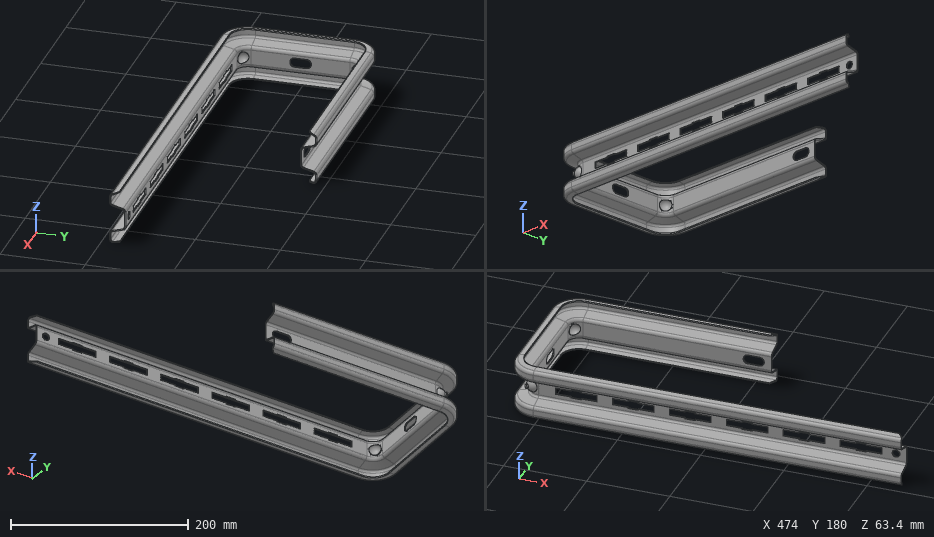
import cadquery as cq
import math

LONG_LEG_END = 474.0
SHORT_LEG_END = 258.8
BRACKET_WIDTH = 180.0
RAIL_HEIGHT = 63.43
BEND_RADIUS = 32.0
HALF_WIDTH = BRACKET_WIDTH / 2
BEND_CENTER_Y = HALF_WIDTH - BEND_RADIUS
BRIDGE_LENGTH = 2 * BEND_CENTER_Y

SHEET = 1.5
RAIL_DEPTH = 19.2
INNER_BEND = 3.0
OUTER_BEND = INNER_BEND + SHEET
LIP_DEPTH = 10.2
LIP_TILT = 12.0
WEB_CORNER_HEIGHT = 11.3
FLANGE_CORNER_HEIGHT = 16.2
LIP_CORNER_HEIGHT = RAIL_HEIGHT / 2 - LIP_DEPTH * math.tan(math.radians(LIP_TILT))

LIP_CUT_LENGTH = 5.5
LIP_CUT_DEPTH = 6.0
LIP_CUT_START_HEIGHT = 22.0

STEPPED_SLOT_COUNT = 6
STEPPED_SLOT_PITCH = 68.5
FIRST_STEPPED_SLOT_X = 77.0
STEPPED_SLOT_LENGTH = 50.0
STEPPED_SLOT_HEIGHT = 7.7
STEP_LENGTH = 12.0
STEP_HEIGHT = 10.0

END_HOLE_X = 461.5
END_HOLE_DIAMETER = 9.0

OBLONG_LENGTH = 25.0
OBLONG_HEIGHT = 11.0
OBLONG_END_MARGIN = 9.0

DOME_RADIUS = 8.6
DOME_CENTER_RADIUS = 11.2
STUD_DIAMETER = 5.0
STUD_TIP_RADIUS = 21.3


def offset_chain(points, distance):
    """Shift a chain of (z, depth) points sideways, keeping the corners mitred."""
    normals = []
    for (z0, d0), (z1, d1) in zip(points, points[1:]):
        length = math.hypot(z1 - z0, d1 - d0)
        normals.append(((d0 - d1) / length, (z1 - z0) / length))
    before = normals[:1] + normals
    after = normals + normals[-1:]
    shifted = []
    for (z, d), (az, ad), (bz, bd) in zip(points, before, after):
        stretch = distance / (1 + az * bz + ad * bd)
        shifted.append((z + stretch * (az + bz), d + stretch * (ad + bd)))
    return shifted


def rail_section():
    """Closed hat section in the YZ plane, outside of the rail at Y = 0, web toward +Y."""
    upper = [
        (RAIL_HEIGHT / 2, LIP_DEPTH),
        (LIP_CORNER_HEIGHT, 0),
        (FLANGE_CORNER_HEIGHT, 0),
        (WEB_CORNER_HEIGHT, RAIL_DEPTH - SHEET),
    ]
    outer_chain = upper + [(-z, depth) for z, depth in reversed(upper)]
    inner_chain = offset_chain(outer_chain, -SHEET)
    outline = [cq.Vector(0, depth, z) for z, depth in outer_chain + inner_chain[::-1]]
    wire = cq.Wire.makePolygon(outline, close=True)

    web_corners = (3, 4)
    for index in range(1, len(outer_chain) - 1):
        radii = (INNER_BEND, OUTER_BEND) if index in web_corners else (OUTER_BEND, INNER_BEND)
        for chain, radius in zip((outer_chain, inner_chain), radii):
            z, depth = chain[index]
            corner = cq.Vector(0, depth, z)
            vertex = min(wire.Vertices(), key=lambda v: (v.Center() - corner).Length)
            wire = wire.fillet2D(radius, [vertex])
    return cq.Face.makeFromWires(wire)


def straight_leg(end_x):
    """Straight rail along X on the -Y side, with the lip corners cut off at its free end."""
    section = rail_section().translate(cq.Vector(BEND_RADIUS, -HALF_WIDTH, 0))
    rail = cq.Workplane(cq.Solid.extrudeLinear(section, cq.Vector(end_x - BEND_RADIUS, 0, 0)))
    lip_edge_y = -HALF_WIDTH + LIP_DEPTH
    cut_start_y = lip_edge_y - LIP_CUT_DEPTH
    cut_depth = LIP_CUT_DEPTH + SHEET
    cut_length = LIP_CUT_LENGTH * cut_depth / LIP_CUT_DEPTH
    corner_cut = (
        cq.Workplane("XY", origin=(0, 0, LIP_CUT_START_HEIGHT))
        .moveTo(end_x, cut_start_y)
        .line(0, cut_depth)
        .line(-cut_length, 0)
        .close()
        .extrude(RAIL_HEIGHT)
    )
    return rail.cut(corner_cut).cut(corner_cut.mirror("XY"))


def bend():
    """Quarter-turn rail joining the long leg to the bridge, with its dome and stud."""
    section = rail_section().translate(cq.Vector(BEND_RADIUS, -HALF_WIDTH, 0))
    bend_center = cq.Vector(BEND_RADIUS, -BEND_CENTER_Y, 0)
    axis_end = bend_center + cq.Vector(0, 0, 1)
    elbow = cq.Workplane(cq.Solid.revolve(section, -90, bend_center, axis_end))

    diagonal = cq.Vector(-1, -1, 0).normalized()
    dome_center = bend_center + diagonal * DOME_CENTER_RADIUS
    web_middle_radius = BEND_RADIUS - RAIL_DEPTH + SHEET / 2
    web_core = (
        cq.Workplane("XY", origin=bend_center.toTuple())
        .circle(web_middle_radius)
        .extrude(RAIL_HEIGHT / 2, both=True)
    )
    dome = cq.Workplane(origin=dome_center.toTuple()).sphere(DOME_RADIUS)
    hollow = cq.Workplane(origin=dome_center.toTuple()).sphere(DOME_RADIUS - SHEET)
    stud_root = DOME_CENTER_RADIUS + DOME_RADIUS - SHEET
    stud_origin = bend_center + diagonal * stud_root
    stud = (
        cq.Workplane(cq.Plane(stud_origin.toTuple(), xDir=(0, 0, 1), normal=diagonal.toTuple()))
        .circle(STUD_DIAMETER / 2)
        .extrude(STUD_TIP_RADIUS - stud_root)
    )
    return elbow.union(dome.cut(web_core)).cut(hollow).union(stud)


def bridge():
    """Straight rail along Y joining the two bends."""
    section = rail_section().rotate(cq.Vector(), cq.Vector(0, 0, 1), -90)
    section = section.translate(cq.Vector(0, -BEND_CENTER_Y, 0))
    return cq.Workplane(cq.Solid.extrudeLinear(section, cq.Vector(0, BRIDGE_LENGTH, 0)))


def web_cutter(sketch):
    """Push a profile drawn on the outside of a -Y leg through its web."""
    return sketch.extrude(-2 * RAIL_DEPTH)


def long_leg():
    """Long leg with its row of stepped slots and the round end hole."""
    leg = straight_leg(LONG_LEG_END)
    face = cq.Workplane("XZ", origin=(0, -HALF_WIDTH, 0))
    for index in range(STEPPED_SLOT_COUNT):
        slot = face.center(FIRST_STEPPED_SLOT_X + index * STEPPED_SLOT_PITCH, 0)
        leg = leg.cut(web_cutter(slot.rect(STEPPED_SLOT_LENGTH, STEPPED_SLOT_HEIGHT)))
        leg = leg.cut(web_cutter(slot.rect(STEP_LENGTH, STEP_HEIGHT)))
    return leg.cut(web_cutter(face.center(END_HOLE_X, 0).circle(END_HOLE_DIAMETER / 2)))


def short_leg():
    """Short leg with its oblong slot, mirrored to the +Y side."""
    slot_x = SHORT_LEG_END - OBLONG_END_MARGIN - OBLONG_LENGTH / 2
    face = cq.Workplane("XZ", origin=(slot_x, -HALF_WIDTH, 0))
    slot = web_cutter(face.slot2D(OBLONG_LENGTH, OBLONG_HEIGHT))
    return straight_leg(SHORT_LEG_END).cut(slot).mirror("XZ")


def slotted_bridge():
    """Bridge with an oblong slot at its middle."""
    slot = cq.Workplane("YZ").slot2D(OBLONG_LENGTH, OBLONG_HEIGHT).extrude(2 * RAIL_DEPTH)
    return bridge().cut(slot)


long_leg_bend = bend()
result = (
    long_leg()
    .union(long_leg_bend)
    .union(slotted_bridge())
    .union(long_leg_bend.mirror("XZ"))
    .union(short_leg())
)